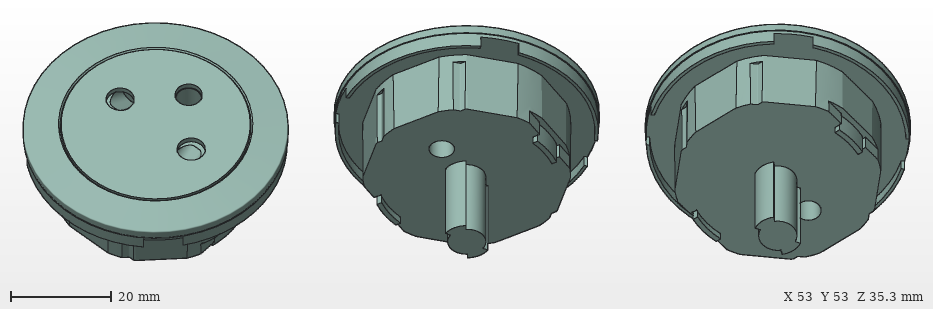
import cadquery as cq
import math


RING_RADIUS = 26.5
RING_HOLE_RADIUS = 19.1
RING_INNER_CHAMFER = 0.3
RIM_ROUND = 0.25
RIM_TOP_DROP = 1.0
RIM_BOTTOM_DEPTH = 3.0
PLATE_DEPTH = 3.85
SKIRT_OUTER_RADIUS = 26.3
SKIRT_INNER_RADIUS = 25.6
SKIRT_DEPTH = 6.25
SKIRT_NOTCH_WIDTH = 7.85

FACE_RADIUS = 18.85
HOUSING_TOP_RADIUS = 20.8
HOUSING_BOTTOM_RADIUS = 20.7
HOUSING_FLAT_DISTANCE = 20.1
HOUSING_SIDE_FLAT_DISTANCE = 20.2
HOUSING_DEPTH = 18.25

FACE_THICKNESS = 1.2
CONTACT_HOLE_RADIUS = 2.8
CONTACT_OFFSET = 9.5
EARTH_HOLE_RADIUS = 2.7
EARTH_BORE_RADIUS = 2.55
EARTH_OFFSET = 9.9

GROOVE_TOP_DEPTH = 5.65
GROOVE_FLOOR_Y = 18.05
GROOVE_INNER_X = 9.05
GROOVE_OUTER_X = 10.35
GROOVE_CORNER_RADIUS = 0.3

RECESS_TOP_DEPTH = 15.05
RECESS_WALL_X = 19.15
WINDOW_HALF_WIDTH = 3.9
TAB_GAP = 0.5
TAB_OUTER_RADIUS = 19.1
TAB_INNER_RADIUS = 17.95
TAB_DEPTH = 19.8

STEM_RADIUS = 3.8
STEM_LOBE_RADIUS = 4.95
STEM_LOBE_HALF_ANGLE = 28.4
STEM_DEPTH = 35.3

SHUTTER_LENGTH = 28.6
SHUTTER_WIDTH = 7.95
SHUTTER_THICKNESS = 4.75
RAMP_START = 1.7
RAMP_ANGLE = 34.0
RAMP_FLAT_WIDTH = 1.15
RAMP_CORNER_RADIUS = 1.95

CUT_MARGIN = 2.65


def prism(profile, top_depth, bottom_depth):
    """Move a profile drawn at Z = 0 down to top_depth and extrude it to bottom_depth."""
    return profile.extrude(top_depth - bottom_depth).translate((0, 0, -top_depth))


def disc(radius, top_depth, bottom_depth):
    return prism(cq.Workplane("XY").circle(radius), top_depth, bottom_depth)


def turned_pair(shape):
    """The shape together with its copy turned half a turn about the socket axis."""
    return [shape.rotate((0, 0, 0), (0, 0, 1), angle) for angle in (0, 180)]



def make_ring():
    cone_outer_radius = RING_RADIUS - RIM_ROUND
    round_middle = RIM_ROUND * (1 - math.sqrt(0.5))
    ring = (
        cq.Workplane("XZ")
        .moveTo(RING_HOLE_RADIUS, -PLATE_DEPTH)
        .lineTo(RING_HOLE_RADIUS, -RING_INNER_CHAMFER)
        .lineTo(RING_HOLE_RADIUS + RING_INNER_CHAMFER, 0)
        .lineTo(cone_outer_radius, -RIM_TOP_DROP)
        .threePointArc(
            (RING_RADIUS - round_middle, -RIM_TOP_DROP - round_middle),
            (RING_RADIUS, -RIM_TOP_DROP - RIM_ROUND),
        )
        .lineTo(RING_RADIUS, -RIM_BOTTOM_DEPTH)
        .lineTo(SKIRT_OUTER_RADIUS, -RIM_BOTTOM_DEPTH)
        .lineTo(SKIRT_OUTER_RADIUS, -SKIRT_DEPTH)
        .lineTo(SKIRT_INNER_RADIUS, -SKIRT_DEPTH)
        .lineTo(SKIRT_INNER_RADIUS, -PLATE_DEPTH)
        .close()
        .revolve(360, (0, 0, 0), (0, 1, 0))
    )
    for angle in (45, 135):
        notch_bar = cq.Workplane("XY").rect(2 * RING_RADIUS + CUT_MARGIN, SKIRT_NOTCH_WIDTH)
        notch_bar = prism(notch_bar, PLATE_DEPTH, SKIRT_DEPTH)
        ring = ring.cut(notch_bar.rotate((0, 0, 0), (0, 0, 1), angle))
    return ring



def make_housing_block():
    """Slightly tapered round block with eight flats."""
    cone = (
        cq.Workplane("XZ")
        .moveTo(0, -PLATE_DEPTH)
        .lineTo(HOUSING_TOP_RADIUS, -PLATE_DEPTH)
        .lineTo(HOUSING_BOTTOM_RADIUS, -HOUSING_DEPTH)
        .lineTo(0, -HOUSING_DEPTH)
        .close()
        .revolve(360, (0, 0, 0), (0, 1, 0))
    )
    upright_square = prism(
        cq.Workplane("XY").rect(2 * HOUSING_SIDE_FLAT_DISTANCE, 2 * HOUSING_FLAT_DISTANCE),
        PLATE_DEPTH,
        HOUSING_DEPTH,
    )
    diagonal_square = prism(
        cq.Workplane("XY").rect(2 * HOUSING_FLAT_DISTANCE, 2 * HOUSING_FLAT_DISTANCE),
        PLATE_DEPTH,
        HOUSING_DEPTH,
    ).rotate((0, 0, 0), (0, 0, 1), 45)
    return cone.intersect(upright_square).intersect(diagonal_square)


def make_grooves():
    """Four grooves, each with a floor facing along Y and one wall slanted at 45 degrees."""
    run_out = CUT_MARGIN
    groove = prism(
        cq.Workplane("XY").polyline([
            (GROOVE_OUTER_X, GROOVE_FLOOR_Y),
            (GROOVE_INNER_X, GROOVE_FLOOR_Y),
            (GROOVE_INNER_X - run_out, GROOVE_FLOOR_Y + run_out),
            (GROOVE_OUTER_X, GROOVE_FLOOR_Y + run_out),
        ]).close(),
        GROOVE_TOP_DEPTH,
        HOUSING_DEPTH,
    )
    floor_corner = cq.selectors.NearestToPointSelector((GROOVE_INNER_X, GROOVE_FLOOR_Y, -HOUSING_DEPTH / 2))
    groove = groove.edges("|Z").edges(floor_corner).fillet(GROOVE_CORNER_RADIUS)
    return turned_pair(groove) + turned_pair(groove.mirror("YZ"))


def make_side_recess():
    """Recess on the -X side, with the window that holds a tab."""
    recess = prism(
        cq.Workplane("XY").center(-RECESS_WALL_X - CUT_MARGIN / 2, 0).rect(CUT_MARGIN, 2 * HOUSING_TOP_RADIUS),
        RECESS_TOP_DEPTH,
        HOUSING_DEPTH,
    )
    window = prism(
        cq.Workplane("XY").center(-RECESS_WALL_X, 0).rect(2 * CUT_MARGIN, 2 * WINDOW_HALF_WIDTH),
        RECESS_TOP_DEPTH,
        HOUSING_DEPTH,
    ).cut(disc(TAB_INNER_RADIUS, RECESS_TOP_DEPTH, HOUSING_DEPTH))
    return recess.union(window)


def make_tab():
    """Curved tab on the -X side, filling its window except for a gap at the -Y end."""
    tab_width = 2 * WINDOW_HALF_WIDTH - TAB_GAP
    band = disc(TAB_OUTER_RADIUS, RECESS_TOP_DEPTH, TAB_DEPTH)
    band = band.cut(disc(TAB_INNER_RADIUS, RECESS_TOP_DEPTH, TAB_DEPTH))
    span = prism(
        cq.Workplane("XY").center(-TAB_OUTER_RADIUS, TAB_GAP / 2).rect(2 * CUT_MARGIN, tab_width),
        RECESS_TOP_DEPTH,
        TAB_DEPTH,
    )
    return band.intersect(span)


def make_stem():
    """Round stem with a wider lobe toward +Y and another toward -Y."""
    stem = disc(STEM_RADIUS, HOUSING_DEPTH, STEM_DEPTH)
    lobe_angle = math.radians(STEM_LOBE_HALF_ANGLE)
    lobe_x = STEM_LOBE_RADIUS * math.sin(lobe_angle)
    lobe_y = STEM_LOBE_RADIUS * math.cos(lobe_angle)
    lobe = prism(
        cq.Workplane("XY")
        .lineTo(lobe_x, lobe_y)
        .threePointArc((0, STEM_LOBE_RADIUS), (-lobe_x, lobe_y))
        .close(),
        HOUSING_DEPTH,
        STEM_DEPTH,
    )
    for lobe_copy in turned_pair(lobe):
        stem = stem.union(lobe_copy)
    return stem


def make_shutter_block():
    """Round-ended bar that fills the shutter cavity."""
    outline = cq.Workplane("XY").slot2D(SHUTTER_LENGTH, SHUTTER_WIDTH)
    return prism(outline, FACE_THICKNESS, FACE_THICKNESS + SHUTTER_THICKNESS)


def make_insert():
    insert = make_housing_block().union(disc(FACE_RADIUS, 0, PLATE_DEPTH))
    for groove in make_grooves():
        insert = insert.cut(groove)
    for recess in turned_pair(make_side_recess()):
        insert = insert.cut(recess)
    for tab in turned_pair(make_tab()):
        insert = insert.union(tab)
    insert = insert.union(make_stem())
    insert = insert.cut(make_shutter_block())
    contact_hole = disc(CONTACT_HOLE_RADIUS, 0, FACE_THICKNESS).translate((-CONTACT_OFFSET, 0, 0))
    for hole in turned_pair(contact_hole):
        insert = insert.cut(hole)
    earth_hole = disc(EARTH_HOLE_RADIUS, 0, FACE_THICKNESS).union(disc(EARTH_BORE_RADIUS, 0, HOUSING_DEPTH))
    return insert.cut(earth_hole.translate((0, EARTH_OFFSET, 0)))



def make_ramp():
    """Round-cornered groove behind the -X contact hole, starting at the top face and falling toward +Y."""
    ramp_width = RAMP_FLAT_WIDTH + 2 * RAMP_CORNER_RADIUS
    ramp_length = 2 * SHUTTER_WIDTH
    ramp_height = 2 * SHUTTER_THICKNESS
    ramp = (
        cq.Workplane("XY")
        .box(ramp_width, 2 * ramp_length, ramp_height, centered=(True, True, False))
        .edges("|Y and <Z")
        .fillet(RAMP_CORNER_RADIUS)
        .rotate((0, 0, 0), (1, 0, 0), -RAMP_ANGLE)
    )
    return ramp.translate((-CONTACT_OFFSET, -RAMP_START, -FACE_THICKNESS))


def make_shutter():
    shutter = make_shutter_block()
    for ramp in turned_pair(make_ramp()):
        shutter = shutter.cut(ramp)
    return shutter


ring = make_ring()
insert = make_insert()
shutter = make_shutter()

result = cq.Compound.makeCompound([ring.val(), insert.val(), shutter.val()])